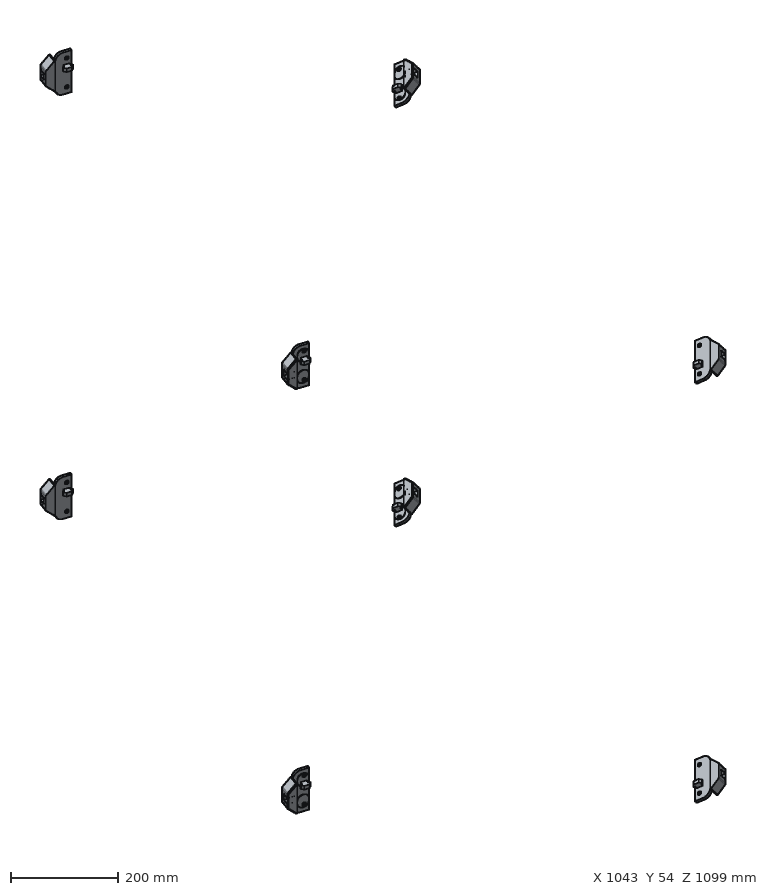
import cadquery as cq

CORNER_SPACING = 1000.0
TOTAL_WIDTH = 1043.0
TOTAL_DEPTH = 54.02
TOTAL_HEIGHT = 1099.0

FRONT_Y = -TOTAL_DEPTH / 2
BACK_Y = TOTAL_DEPTH / 2

PLATE_THICKNESS = 6.0
PLATE_HALF_HEIGHT = (TOTAL_HEIGHT - CORNER_SPACING) / 2
PLATE_CORNER_RADIUS = 16.0
SEAT_Y = -7.0

RECESS_LENGTH = 30.0
RECESS_WIDTH = 24.0
RECESS_DEPTH = 1.0
RECESS_Y = 14.5
RECESS_Z = 25.0
SCREW_HOLE_DIAMETER = 8.0
SCREW_HOLE_Y = 17.0
SCREW_HOLE_Z = 34.0

HOOK_Y = 16.0
HOOK_Z = 16.0
HOOK_THICKNESS = 8.4
HOOK_REACH = 15.5
HOOK_SHOULDER = 8.2
HOOK_NECK_HALF_WIDTH = 6.5
HOOK_BARB_HALF_WIDTH = 10.0
HOOK_TIP_CHAMFER = 4.5

BLOCK_OUTER_X = (CORNER_SPACING - TOTAL_WIDTH) / 2
BLOCK_INNER_X = PLATE_THICKNESS / 2
BLOCK_BACK_HALF_HEIGHT = 35.5
BLOCK_FRONT_HALF_HEIGHT = 17.5
BLOCK_FRONT_FILLET = 4.0
BLOCK_EDGE_CHAMFER = 2.0

POCKET_SIDE = 14.0
POCKET_WALL = 2.5
POCKET_DEPTH = 18.0


def make_hook(side):
    """Flat barbed hook on one face of the plate: side is +1 for +X and -1 for -X."""
    shoulder = side * HOOK_SHOULDER
    chamfer_start = side * (HOOK_REACH - HOOK_TIP_CHAMFER)
    tip = side * HOOK_REACH
    tip_half_width = HOOK_BARB_HALF_WIDTH - HOOK_TIP_CHAMFER
    half_outline = [
        (0, HOOK_NECK_HALF_WIDTH),
        (shoulder, HOOK_NECK_HALF_WIDTH),
        (shoulder, HOOK_BARB_HALF_WIDTH),
        (chamfer_start, HOOK_BARB_HALF_WIDTH),
        (tip, tip_half_width),
    ]
    mirrored = [(x, -y) for x, y in reversed(half_outline)]
    return (
        cq.Workplane("XY", origin=(0, HOOK_Y, side * HOOK_Z))
        .polyline(half_outline + mirrored)
        .close()
        .extrude(HOOK_THICKNESS / 2, both=True)
    )


def make_plate():
    """Mounting plate with two rounded recesses, two screw holes and two opposed hooks."""
    plate = (
        cq.Workplane("XY")
        .box(PLATE_THICKNESS, BACK_Y - SEAT_Y, 2 * PLATE_HALF_HEIGHT)
        .translate((0, (BACK_Y + SEAT_Y) / 2, 0))
        .edges("|X and <Y")
        .fillet(PLATE_CORNER_RADIUS)
    )
    face_x = -PLATE_THICKNESS / 2
    for side in (1, -1):
        recess = (
            cq.Workplane("YZ", origin=(face_x, RECESS_Y, side * RECESS_Z))
            .slot2D(RECESS_LENGTH, RECESS_WIDTH, 90)
            .extrude(RECESS_DEPTH)
        )
        screw_hole = (
            cq.Workplane("YZ", origin=(face_x, SCREW_HOLE_Y, side * SCREW_HOLE_Z))
            .circle(SCREW_HOLE_DIAMETER / 2)
            .extrude(PLATE_THICKNESS)
        )
        plate = plate.cut(recess).cut(screw_hole).union(make_hook(side))
    return plate


def make_block():
    """Block with 45 degree slopes, rounded front corners and a square front pocket."""
    slope_start_y = FRONT_Y + BLOCK_BACK_HALF_HEIGHT - BLOCK_FRONT_HALF_HEIGHT
    block = (
        cq.Workplane("YZ", origin=(BLOCK_OUTER_X, 0, 0))
        .moveTo(SEAT_Y, -BLOCK_BACK_HALF_HEIGHT)
        .lineTo(slope_start_y, -BLOCK_BACK_HALF_HEIGHT)
        .lineTo(FRONT_Y, -BLOCK_FRONT_HALF_HEIGHT)
        .lineTo(FRONT_Y, BLOCK_FRONT_HALF_HEIGHT)
        .lineTo(slope_start_y, BLOCK_BACK_HALF_HEIGHT)
        .lineTo(SEAT_Y, BLOCK_BACK_HALF_HEIGHT)
        .close()
        .extrude(BLOCK_INNER_X - BLOCK_OUTER_X)
        .edges("|X and <Y")
        .fillet(BLOCK_FRONT_FILLET)
        .faces("<X")
        .edges("not >Y")
        .chamfer(BLOCK_EDGE_CHAMFER)
    )
    pocket_x = BLOCK_OUTER_X + POCKET_WALL + POCKET_SIDE / 2
    pocket = (
        cq.Workplane("XY")
        .box(POCKET_SIDE, POCKET_DEPTH, POCKET_SIDE)
        .translate((pocket_x, FRONT_Y + POCKET_DEPTH / 2, 0))
    )
    return block.cut(pocket)


def place_at_corners(body):
    """Copies at the four corners; the +X pair is turned half a turn about Y."""
    copies = []
    for side_x in (-1, 1):
        turn = 0 if side_x < 0 else 180
        for side_z in (-1, 1):
            corner = (side_x * CORNER_SPACING / 2, 0, side_z * CORNER_SPACING / 2)
            copies.append(body.rotate((0, 0, 0), (0, 1, 0), turn).translate(corner).val())
    return copies


plates = place_at_corners(make_plate())
blocks = place_at_corners(make_block())

result = cq.Compound.makeCompound([*plates, *blocks])